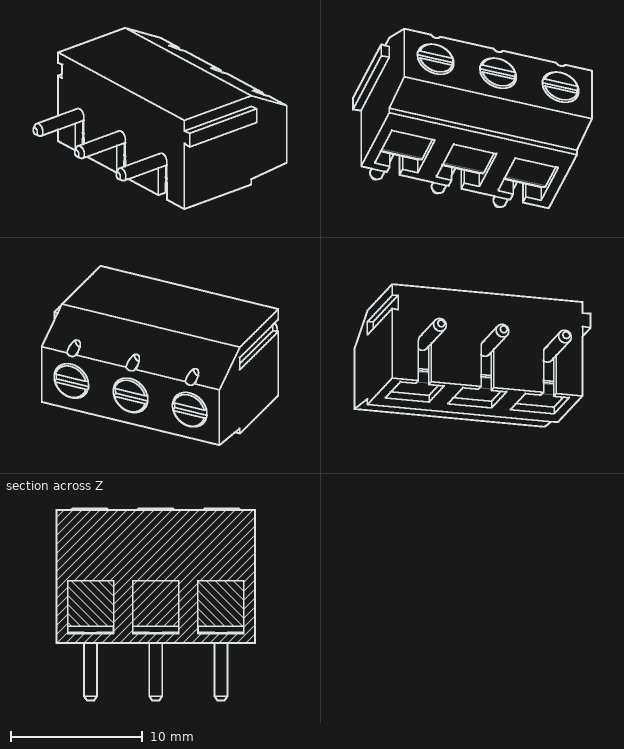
import cadquery as cq

HOUSING_WIDTH = 15.05
HOUSING_DEPTH = 10.1
HOUSING_HEIGHT = 7.52
SHOULDER_Y = 6.6
BACK_TOP_Z = 5.57
UNDERSIDE_STEP = 0.45
BACK_BOTTOM_Z = 0.75

DOVETAIL_Z = 6.09
DOVETAIL_NECK = 1.05
DOVETAIL_WIDE = 1.16
GROOVE_DEPTH = 0.47
RAIL_LENGTH = 0.65

POLE_COUNT = 3
PIN_PITCH = 4.95
SCREW_PITCH = 5.01
AXIS_Z = 3.22

PIN_RADIUS = 0.5
PIN_PROTRUSION = 4.36
PIN_TIP_RADIUS = 0.27
PIN_TIP_LENGTH = 0.35
PIN_PLATE_FRONT_Y = 0.78
PIN_PLATE_BOTTOM_Z = 1.22
PIN_PLATE_TOP_Z = 2 * AXIS_Z - PIN_PLATE_BOTTOM_Z

FRONT_WALL = 0.7
CLAMP_FRONT_Y = 1.25
CLAMP_BACK_Y = 4.71
CLAMP_WIDTH = 3.45
CLAMP_BOTTOM_Z = 0.53
CLAMP_TOP_Z = 2 * AXIS_Z - CLAMP_BOTTOM_Z
CLAMP_ROUND = 0.6

SCREW_RADIUS = 1.46
SCREW_PROTRUSION = 0.13
SCREW_SLOT_WIDTH = 0.69
SCREW_SLOT_DEPTH = 0.47

TEST_HOLE_RADIUS = 0.42
TEST_HOLE_Z = BACK_TOP_Z + 0.2
TEST_HOLE_DEPTH = 1.57


def pole_positions(pitch):
    """X positions of the poles, centred on the housing."""
    first = HOUSING_WIDTH / 2 - pitch * (POLE_COUNT - 1) / 2
    return [first + pitch * i for i in range(POLE_COUNT)]


def cylinder_along_y(x, z, radius, y_start, y_end):
    axis_start = cq.Vector(x, y_start, z)
    return cq.Workplane(cq.Solid.makeCylinder(radius, y_end - y_start, axis_start, cq.Vector(0, 1, 0)))


def box_between(x, width, y_start, y_end, z_start, z_end):
    """Box centred on x, between two depths and two heights."""
    box = cq.Workplane().box(width, y_end - y_start, z_end - z_start, centered=(True, False, False))
    return box.translate((x, y_start, z_start))


def dovetail(x, length):
    """Dovetail prism that starts at x with its wide side `length` further along +X."""
    outline = [
        (x, DOVETAIL_Z - DOVETAIL_NECK / 2),
        (x + length, DOVETAIL_Z - DOVETAIL_WIDE / 2),
        (x + length, DOVETAIL_Z + DOVETAIL_WIDE / 2),
        (x, DOVETAIL_Z + DOVETAIL_NECK / 2),
    ]
    return cq.Workplane("XZ").polyline(outline).close().extrude(-SHOULDER_Y)


def make_housing():
    side_outline = [
        (0, 0),
        (SHOULDER_Y, 0),
        (SHOULDER_Y, UNDERSIDE_STEP),
        (HOUSING_DEPTH, BACK_BOTTOM_Z),
        (HOUSING_DEPTH, BACK_TOP_Z),
        (SHOULDER_Y, HOUSING_HEIGHT),
        (0, HOUSING_HEIGHT),
    ]
    housing = cq.Workplane("YZ").polyline(side_outline).close().extrude(HOUSING_WIDTH)
    housing = housing.cut(dovetail(0, GROOVE_DEPTH))
    housing = housing.union(dovetail(HOUSING_WIDTH, RAIL_LENGTH))

    for x in pole_positions(PIN_PITCH):
        housing = housing.cut(box_between(x, CLAMP_WIDTH, FRONT_WALL, CLAMP_BACK_Y, 0, CLAMP_TOP_Z))
        housing = housing.cut(cylinder_along_y(x, AXIS_Z, PIN_RADIUS, 0, FRONT_WALL))
        housing = housing.cut(box_between(x, 2 * PIN_RADIUS, 0, FRONT_WALL, 0, AXIS_Z))

    test_hole_end = HOUSING_DEPTH - TEST_HOLE_DEPTH
    for x in pole_positions(SCREW_PITCH):
        housing = housing.cut(cylinder_along_y(x, AXIS_Z, SCREW_RADIUS, CLAMP_BACK_Y, HOUSING_DEPTH))
        housing = housing.cut(
            cylinder_along_y(x, TEST_HOLE_Z, TEST_HOLE_RADIUS, test_hole_end, HOUSING_DEPTH)
        )
    return housing


def make_clamp(x):
    """Block with a rounded lower front edge, behind the plate of the pin."""
    clamp = box_between(x, CLAMP_WIDTH, CLAMP_FRONT_Y, CLAMP_BACK_Y, CLAMP_BOTTOM_Z, CLAMP_TOP_Z)
    return clamp.faces("<Y").edges("<Z").fillet(CLAMP_ROUND)


def make_pin(x):
    """Round pin with a conical tip outside and a flat plate that rests on the clamp block."""
    half_profile = [
        (0, -PIN_PROTRUSION),
        (PIN_TIP_RADIUS, -PIN_PROTRUSION),
        (PIN_RADIUS, PIN_TIP_LENGTH - PIN_PROTRUSION),
        (PIN_RADIUS, CLAMP_FRONT_Y),
        (0, CLAMP_FRONT_Y),
    ]
    pin = cq.Workplane("XY").polyline(half_profile).close().revolve(360, (0, 0), (0, 1))
    plate = box_between(
        x, CLAMP_WIDTH, PIN_PLATE_FRONT_Y, CLAMP_FRONT_Y, PIN_PLATE_BOTTOM_Z, PIN_PLATE_TOP_Z
    )
    return pin.translate((x, 0, AXIS_Z)).union(plate)


def make_screw(x):
    """Slotted screw standing slightly proud of the back face."""
    head_y = HOUSING_DEPTH + SCREW_PROTRUSION
    screw = cylinder_along_y(x, AXIS_Z, SCREW_RADIUS, CLAMP_BACK_Y, head_y)
    screw = screw.faces(">Y").chamfer(SCREW_PROTRUSION)
    slot = box_between(
        x,
        2 * SCREW_RADIUS,
        head_y - SCREW_SLOT_DEPTH,
        head_y,
        AXIS_Z - SCREW_SLOT_WIDTH / 2,
        AXIS_Z + SCREW_SLOT_WIDTH / 2,
    )
    return screw.cut(slot)


housing = make_housing()
clamps = [make_clamp(x) for x in pole_positions(PIN_PITCH)]
pins = [make_pin(x) for x in pole_positions(PIN_PITCH)]
screws = [make_screw(x) for x in pole_positions(SCREW_PITCH)]

result = cq.Compound.makeCompound([body.val() for body in [housing, *clamps, *pins, *screws]])